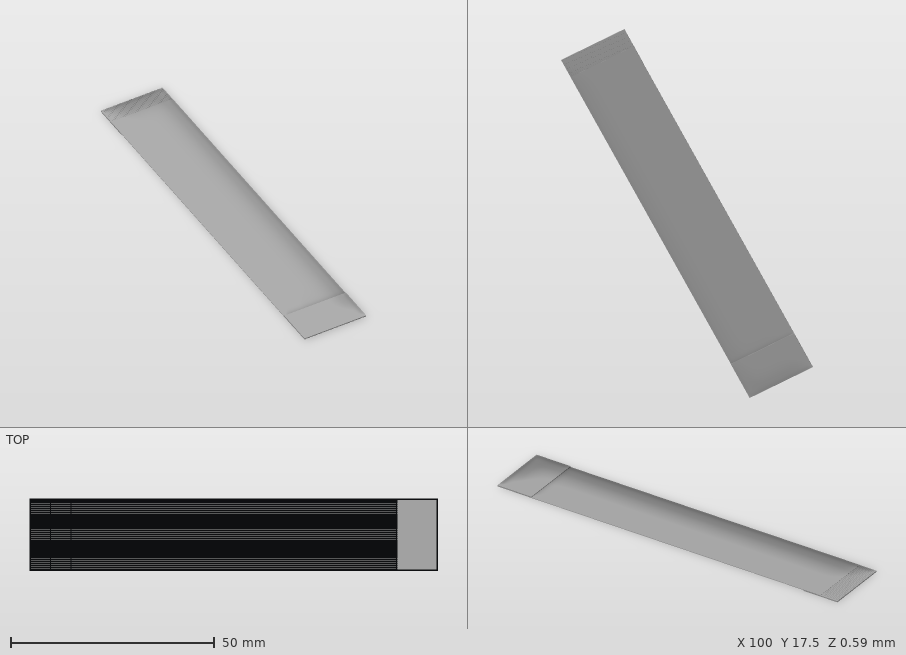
import cadquery as cq

length = 100.0
width = 17.5
total_height = 0.59

film_thickness = 0.045
channel_height = 0.05
cable_thickness = channel_height + 2 * film_thickness
stiffener_thickness = (total_height - cable_thickness) / 2

channel_count = 34
channel_pitch = 0.5
channel_width = 0.3

contact_length = 5.0
stiffener_length = 10.0

left_end = -length / 2
right_end = length / 2
film_top = cable_thickness / 2
film_bottom = -cable_thickness / 2
channel_top = channel_height / 2
channel_bottom = -channel_height / 2


def sheet(x_start, x_end, z_bottom, z_top):
    """Full-width layer between two X positions and two heights."""
    size_x = x_end - x_start
    size_z = z_top - z_bottom
    center = ((x_start + x_end) / 2, 0, (z_bottom + z_top) / 2)
    return cq.Workplane("XY").box(size_x, width, size_z).translate(center)


channel_layer = sheet(left_end, right_end, channel_bottom, channel_top)
upper_film = sheet(left_end + contact_length, right_end, channel_top, film_top)
lower_film = sheet(left_end, right_end - contact_length, film_bottom, channel_bottom)

left_stiffener = sheet(
    left_end, left_end + stiffener_length, film_bottom - stiffener_thickness, film_bottom
)
right_stiffener = sheet(
    right_end - stiffener_length, right_end, film_top, film_top + stiffener_thickness
)

channels = (
    cq.Workplane("XY", origin=(0, 0, channel_bottom))
    .rarray(length, channel_pitch, 1, channel_count)
    .rect(length, channel_width)
    .extrude(channel_height)
)

result = (
    channel_layer.union(upper_film)
    .union(lower_film)
    .union(left_stiffener)
    .union(right_stiffener)
    .clean()
    .cut(channels)
)